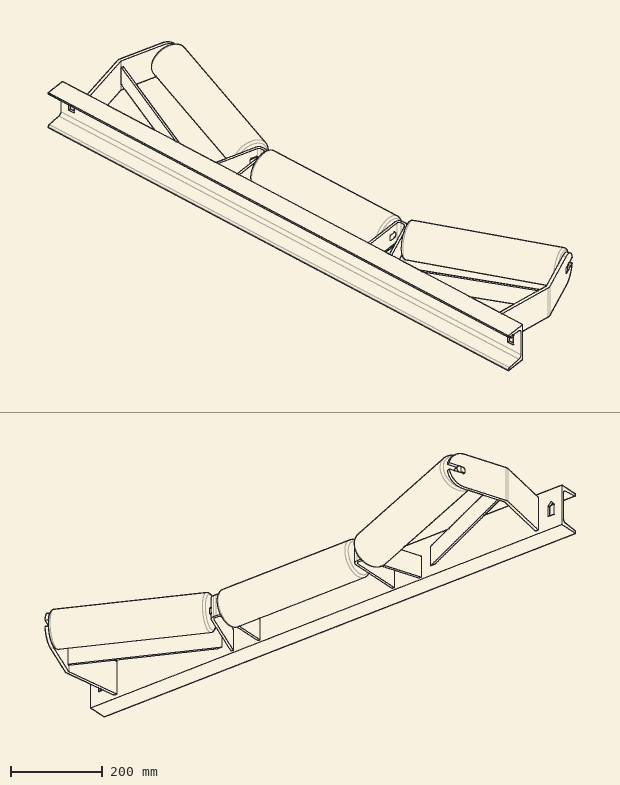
import cadquery as cq
import math


CHANNEL_LENGTH = 1300.0
CHANNEL_HEIGHT = 100.0
FLANGE_WIDTH = 50.0
WEB_THICKNESS = 6.0
FLANGE_TIP_THICKNESS = 6.0
FLANGE_TAPER = 5.0
ROOT_RADIUS = 8.0
TIP_RADIUS = 4.0

SLOT_X = 620.0
SLOT_WIDTH = 15.0
SLOT_BOTTOM_Z = 34.0
SLOT_SHOULDER_Z = 60.0
SLOT_PEAK_Z = 69.0

ROLLER_LENGTH = 360.0
ROLLER_RADIUS = 44.0
ROLLER_EDGE_RADIUS = 5.0
SHAFT_RADIUS = 10.0
SHAFT_FLAT_HEIGHT = 15.0
CENTRE_END_GAP = 2.0
WING_END_GAP = 3.2
CENTRE_ROLLER_Y = 116.0
CENTRE_ROLLER_Z = 30.0
WING_X = 389.0
WING_Y = 188.0
WING_ANGLE = 20.0
WING_TILT = 3.2

INNER_THICKNESS = 6.0
INNER_BOTTOM_Z = 5.0
INNER_HEIGHT = 53.0
INNER_TOP_Y = 139.0
INNER_BEND_RADIUS = 6.0
OUTER_THICKNESS = 8.0
OUTER_BOTTOM_Z = 9.0
OUTER_HEIGHT = 83.0
OUTER_FOOT_X = 581.0
OUTER_BEND_Y = 142.0
OUTER_BEND_RADIUS = 6.0
OUTER_TIP_Y = 282.0
OUTER_TIP_RADIUS = 40.0
BRACE_THICKNESS = 5.0
BRACE_BOTTOM_Z = 25.0
BRACE_HEIGHT = 50.0
BRACE_FOOT_X = 294.0
BRACE_RISE = 3.0

HALF_ROLLER = ROLLER_LENGTH / 2
angle = math.radians(WING_ANGLE)
tilt = math.radians(WING_TILT)
ALONG_X = (1.0, 0.0)
WING_UP = (-math.sin(angle), math.cos(angle))
WING_Z = CENTRE_ROLLER_Z + HALF_ROLLER * math.sin(tilt)

centre_frame = cq.Plane((0, CENTRE_ROLLER_Y, CENTRE_ROLLER_Z), xDir=(0, 1, 0), normal=(1, 0, 0))
wing_frame = cq.Plane(
    (WING_X, WING_Y, WING_Z),
    xDir=(*WING_UP, 0),
    normal=(math.cos(angle) * math.cos(tilt), math.sin(angle) * math.cos(tilt), math.sin(tilt)),
)


def wing_plate_point(offset, y):
    """Plan point at height y on a line square to the wing roller, offset outward from its middle."""
    x_on_axis = WING_X + offset * math.cos(angle)
    y_on_axis = WING_Y + offset * math.sin(angle)
    return (x_on_axis - (y - y_on_axis) * math.tan(angle), y)


def strip(path, thickness, bottom_z, height, start_cut=None, end_cut=None):
    """Upright plate following a plan path; a cut is the direction of an end face, square if None."""
    normals = []
    for (x0, y0), (x1, y1) in zip(path, path[1:]):
        length = math.hypot(x1 - x0, y1 - y0)
        normals.append(((y0 - y1) / length, (x1 - x0) / length))
    mitres = [start_cut or normals[0]]
    for (ax, ay), (bx, by) in zip(normals, normals[1:]):
        mitres.append((ax + bx, ay + by))
    mitres.append(end_cut or normals[-1])
    left = []
    right = []
    for (x, y), (mx, my), (nx, ny) in zip(path, mitres, [normals[0]] + normals):
        reach = thickness / 2 / (mx * nx + my * ny)
        left.append((x + mx * reach, y + my * reach))
        right.append((x - mx * reach, y - my * reach))
    outline = left + right[::-1]
    return cq.Workplane("XY", origin=(0, 0, bottom_z)).polyline(outline).close().extrude(height)


def make_channel():
    """Channel with tapered flanges, rounded roots and tips, and a pointed slot near each end."""
    drop = (FLANGE_WIDTH - WEB_THICKNESS) * math.tan(math.radians(FLANGE_TAPER))
    root_thickness = FLANGE_TIP_THICKNESS + drop
    profile = [
        (0, 0),
        (-FLANGE_WIDTH, 0),
        (-FLANGE_WIDTH, FLANGE_TIP_THICKNESS),
        (-WEB_THICKNESS, root_thickness),
        (-WEB_THICKNESS, CHANNEL_HEIGHT - root_thickness),
        (-FLANGE_WIDTH, CHANNEL_HEIGHT - FLANGE_TIP_THICKNESS),
        (-FLANGE_WIDTH, CHANNEL_HEIGHT),
        (0, CHANNEL_HEIGHT),
    ]
    body = cq.Workplane("YZ").polyline(profile).close().extrude(CHANNEL_LENGTH / 2, both=True)
    middle_z = CHANNEL_HEIGHT / 2
    for side in (-1, 1):
        root_z = middle_z + side * (middle_z - root_thickness)
        tip_z = middle_z + side * (middle_z - FLANGE_TIP_THICKNESS)
        body = body.edges(cq.NearestToPointSelector((0, -WEB_THICKNESS, root_z))).fillet(ROOT_RADIUS)
        body = body.edges(cq.NearestToPointSelector((0, -FLANGE_WIDTH, tip_z))).fillet(TIP_RADIUS)
    half = SLOT_WIDTH / 2
    slot_outline = [
        (-half, SLOT_BOTTOM_Z),
        (half, SLOT_BOTTOM_Z),
        (half, SLOT_SHOULDER_Z),
        (0, SLOT_PEAK_Z),
        (-half, SLOT_SHOULDER_Z),
    ]
    for x in (-SLOT_X, SLOT_X):
        slot = cq.Workplane("XZ", origin=(x, 0, 0)).polyline(slot_outline).close().extrude(WEB_THICKNESS)
        body = body.cut(slot)
    return body


def make_shaft(frame, start, end):
    """Round bar along the frame's normal with two flats facing up and down."""
    length = end - start
    base = cq.Workplane(frame).workplane(offset=start)
    bar = base.circle(SHAFT_RADIUS).extrude(length)
    flats = base.rect(2 * SHAFT_RADIUS, SHAFT_FLAT_HEIGHT).extrude(length)
    return bar.intersect(flats)


def make_roller(frame, shaft):
    """Round-edged roller in one piece with its shaft."""
    shell = cq.Workplane(frame).workplane(offset=-HALF_ROLLER).circle(ROLLER_RADIUS).extrude(ROLLER_LENGTH)
    return shell.edges().fillet(ROLLER_EDGE_RADIUS).union(shaft)


centre_reach = HALF_ROLLER + CENTRE_END_GAP + INNER_THICKNESS
inner_reach = HALF_ROLLER + WING_END_GAP + INNER_THICKNESS
outer_reach = HALF_ROLLER + WING_END_GAP + OUTER_THICKNESS
outer_offset = outer_reach - OUTER_THICKNESS / 2
centre_shaft = make_shaft(centre_frame, -centre_reach, centre_reach)
wing_shaft = make_shaft(wing_frame, -inner_reach, outer_reach)


def make_inner_bracket():
    """Folded plate whose two legs carry a centre roller end and a wing roller end."""
    centre_leg_x = centre_reach - INNER_THICKNESS / 2
    wing_leg_offset = INNER_THICKNESS / 2 - inner_reach
    path = [
        (centre_leg_x, 0),
        (centre_leg_x, INNER_TOP_Y),
        wing_plate_point(wing_leg_offset, INNER_TOP_Y),
        wing_plate_point(wing_leg_offset, 0),
    ]
    plate = strip(path, INNER_THICKNESS, INNER_BOTTOM_Z, INNER_HEIGHT, (-1.0, 0.0), ALONG_X)
    plate = plate.edges("|Z").edges(">>Y[-2]").fillet(INNER_BEND_RADIUS)
    plate = plate.edges("|Z").edges(">Y").fillet(INNER_BEND_RADIUS + INNER_THICKNESS)
    return plate.cut(centre_shaft).cut(wing_shaft)


def make_outer_bracket():
    """Bent plate with a rounded tip and an open slot for the outer end of a wing shaft."""
    path = [
        (OUTER_FOOT_X, 0),
        wing_plate_point(outer_offset, OUTER_BEND_Y),
        wing_plate_point(outer_offset, OUTER_TIP_Y),
    ]
    plate = strip(path, OUTER_THICKNESS, OUTER_BOTTOM_Z, OUTER_HEIGHT, start_cut=(-1.0, 0.0))
    plate = plate.edges("|Z").edges(">>X[-2]").fillet(OUTER_BEND_RADIUS)
    plate = plate.edges("|Z").edges(">X").fillet(OUTER_BEND_RADIUS + OUTER_THICKNESS)
    plate = plate.faces(">Y").edges("not |Z").fillet(OUTER_TIP_RADIUS)
    slot = (
        cq.Workplane(wing_frame)
        .workplane(offset=HALF_ROLLER)
        .center(OUTER_TIP_Y / 2, 0)
        .rect(OUTER_TIP_Y, SHAFT_FLAT_HEIGHT)
        .extrude(2 * OUTER_THICKNESS)
    )
    return plate.cut(slot.union(wing_shaft, clean=True))


def make_brace():
    """Flat strut from the web to the outer bracket, just above its bend."""
    end = wing_plate_point(outer_offset - OUTER_THICKNESS / 2, OUTER_BEND_Y + BRACE_RISE)
    return strip([(BRACE_FOOT_X, 0), end], BRACE_THICKNESS, BRACE_BOTTOM_Z, BRACE_HEIGHT, ALONG_X, WING_UP)


def both_sides(part):
    """The part and its mirror image on the other side of X = 0."""
    return [part.val(), part.mirror("YZ").val()]


channel = make_channel()
centre_roller = make_roller(centre_frame, centre_shaft)
wing_rollers = both_sides(make_roller(wing_frame, wing_shaft))
inner_brackets = both_sides(make_inner_bracket())
outer_brackets = both_sides(make_outer_bracket())
braces = both_sides(make_brace())

result = cq.Compound.makeCompound(
    [channel.val(), centre_roller.val(), *wing_rollers, *inner_brackets, *outer_brackets, *braces]
)